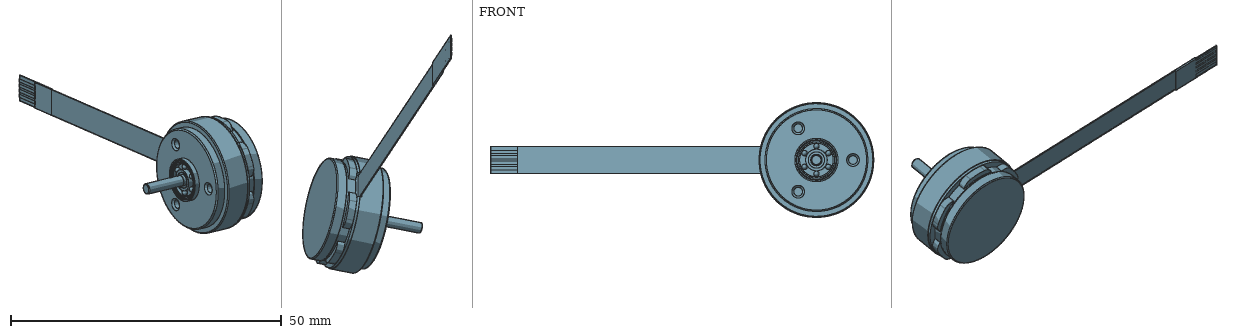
import math

import cadquery as cq


shaft_radius = 1.0
shaft_tip_y = -9.3
shaft_tip_chamfer = 0.15
collar_radius = 1.06
collar_length = 0.4
hub_radius = 4.0
hub_height = 0.95
plate_radius = 9.5
plate_thickness = 1.75
plate_chamfer = 0.25
housing_radius = 10.6
housing_thickness = 4.55
housing_chamfer = 0.2
flange_radius = 10.45
flange_thickness = 0.5
ring_thickness = 1.4
root_radius = 9.3
neck_thickness = 0.4
cap_radius = 9.5
cap_chamfer = 0.2
rear_y = 10.55

housing_front_y = plate_thickness
housing_rear_y = housing_front_y + housing_thickness
flange_rear_y = housing_rear_y + flange_thickness
ring_rear_y = flange_rear_y + ring_thickness
cap_front_y = ring_rear_y + neck_thickness
cap_thickness = rear_y - cap_front_y
hub_face_y = -hub_height

tooth_count = 6
tooth_crown_radius = 10.35
tooth_width = 6.75
tooth_corner_radius = 1.96
tooth_inner_radius = 6.0

bearing_seat_radius = 3.75
bearing_seat_depth = 0.2
bearing_outer_radius = 3.6
race_step_radius = 3.35
race_step_depth = 0.25
race_outer_radius = 3.1
race_inner_radius = 2.0
race_depth = 1.0
bearing_bore_radius = 1.5
ball_count = 6
ball_radius = 0.5
ball_pitch_radius = (race_outer_radius + race_inner_radius) / 2
ball_sink = 0.1

mount_hole_count = 3
mount_circle_radius = 6.75
mount_hole_diameter = 1.6
mount_sink_diameter = 2.35
mount_sink_angle = 90
mount_hole_depth = 2.0

overall_length = 70.72
cable_end_x = housing_radius - overall_length
cable_width = 5.0
cable_thickness = 0.2
cable_front_to_rear = 4.45
cable_front_y = rear_y - cable_front_to_rear
cable_rear_y = cable_front_y + cable_thickness
cable_embed = 1.0
slot_floor_x = -9.0
stiffener_length = 10.0
stiffener_thickness = 0.2
contact_count = 4
contact_pitch = 1.0
contact_width = 0.6
contact_length = 5.0
contact_thickness = 0.04
slot_clearance = 0.15


def disc(radius, front_y, thickness):
    """Solid disc on the motor axis, from front_y toward the rear."""
    plane = cq.Workplane("XZ", origin=(0, front_y, 0))
    return plane.circle(radius).extrude(-thickness)


def tube(outer_radius, inner_radius, front_y, depth):
    """Ring on the motor axis, from front_y toward the rear."""
    return disc(outer_radius, front_y, depth).cut(disc(inner_radius, front_y, depth))


def block(x_start, x_end, y_start, y_end, z_width, z_center=0.0):
    """Box between two X and two Y limits, centred at z_center."""
    size = (x_end - x_start, y_end - y_start, z_width)
    center = ((x_start + x_end) / 2, (y_start + y_end) / 2, z_center)
    return cq.Workplane("XY").box(*size).translate(center)


def spin(shape, angle):
    """Turn a shape about the motor axis."""
    return shape.rotate((0, 0, 0), (0, 1, 0), angle)


def make_tooth():
    """One ring tooth along +Z: parallel sides, rounded shoulders, round crown."""
    half_width = tooth_width / 2
    corner_x = half_width - tooth_corner_radius
    corner_z = math.sqrt((tooth_crown_radius - tooth_corner_radius) ** 2 - corner_x**2)
    corner_angle = math.atan2(corner_z, corner_x)
    crown_x = tooth_crown_radius * math.cos(corner_angle)
    crown_z = tooth_crown_radius * math.sin(corner_angle)
    mid_x = corner_x + tooth_corner_radius * math.cos(corner_angle / 2)
    mid_z = corner_z + tooth_corner_radius * math.sin(corner_angle / 2)
    return (
        cq.Workplane("XZ", origin=(0, flange_rear_y, 0))
        .moveTo(-half_width, tooth_inner_radius)
        .lineTo(half_width, tooth_inner_radius)
        .lineTo(half_width, corner_z)
        .threePointArc((mid_x, mid_z), (crown_x, crown_z))
        .threePointArc((0, tooth_crown_radius), (-crown_x, crown_z))
        .threePointArc((-mid_x, mid_z), (-half_width, corner_z))
        .close()
        .extrude(-ring_thickness)
    )


def make_body():
    """Plate, hub, housing, flange, toothed ring and rear cap."""
    plate = disc(plate_radius, 0, plate_thickness).faces("<Y").chamfer(plate_chamfer)
    housing = disc(housing_radius, housing_front_y, housing_thickness)
    housing = housing.faces("<Y").chamfer(housing_chamfer)
    cap = disc(cap_radius, cap_front_y, cap_thickness).faces(">Y").chamfer(cap_chamfer)
    core_thickness = cap_front_y - flange_rear_y
    body = (
        plate.union(disc(hub_radius, hub_face_y, hub_height))
        .union(housing)
        .union(disc(flange_radius, housing_rear_y, flange_thickness))
        .union(disc(root_radius, flange_rear_y, core_thickness))
        .union(cap)
    )
    tooth = make_tooth()
    for index in range(tooth_count):
        body = body.union(spin(tooth, index * 360 / tooth_count))
    return body


def add_bearing(body):
    """Seat groove, stepped ball race, bore gap and balls in the hub face."""
    body = body.cut(tube(bearing_seat_radius, bearing_outer_radius, hub_face_y, bearing_seat_depth))
    body = body.cut(tube(race_step_radius, race_inner_radius, hub_face_y, race_step_depth))
    body = body.cut(tube(race_outer_radius, race_inner_radius, hub_face_y, race_depth))
    body = body.cut(disc(bearing_bore_radius, hub_face_y, bearing_seat_depth))
    ball_y = hub_face_y + race_depth - ball_radius + ball_sink
    ball = cq.Workplane("XY").sphere(ball_radius).translate((0, ball_y, ball_pitch_radius))
    for index in range(ball_count):
        body = body.union(spin(ball, index * 360 / ball_count))
    return body


def make_shaft():
    """Output shaft with a chamfered tip and a short collar in front of the hub."""
    shaft = disc(shaft_radius, shaft_tip_y, -shaft_tip_y).faces("<Y").chamfer(shaft_tip_chamfer)
    collar_front_y = hub_face_y - collar_length
    return shaft.union(disc(collar_radius, collar_front_y, -collar_front_y))


def cut_mount_holes(body):
    """Countersunk blind holes in the front plate, the first one on +X."""
    return (
        body.copyWorkplane(cq.Workplane("XZ"))
        .polarArray(mount_circle_radius, 0, 360, mount_hole_count)
        .cskHole(mount_hole_diameter, mount_sink_diameter, mount_sink_angle, mount_hole_depth)
    )


def cut_cable_slot(body):
    """Slot through the flange into the housing, where the cable enters."""
    slot_front_y = cable_front_y - slot_clearance
    slot_width = cable_width + 2 * slot_clearance
    return body.cut(block(-housing_radius, slot_floor_x, slot_front_y, flange_rear_y, slot_width))


def make_cable():
    """Flat cable with a stiffened end that carries bare contacts on its front side."""
    cover_start_x = cable_end_x + contact_length
    stiffener_end_x = cable_end_x + stiffener_length
    stiffener_rear_y = cable_rear_y + stiffener_thickness
    cable_inner_x = slot_floor_x + cable_embed
    cable = block(cover_start_x, cable_inner_x, cable_front_y, cable_rear_y, cable_width)
    cable = cable.union(block(cable_end_x, stiffener_end_x, cable_rear_y, stiffener_rear_y, cable_width))
    contact_front_y = cable_rear_y - contact_thickness
    for index in range(contact_count):
        z_center = (index - (contact_count - 1) / 2) * contact_pitch
        contact = block(
            cable_end_x, cover_start_x, contact_front_y, cable_rear_y, contact_width, z_center
        )
        cable = cable.union(contact)
    return cable


motor = add_bearing(make_body())
motor = cut_mount_holes(motor)
motor = cut_cable_slot(motor)
result = motor.union(make_shaft()).union(make_cable())